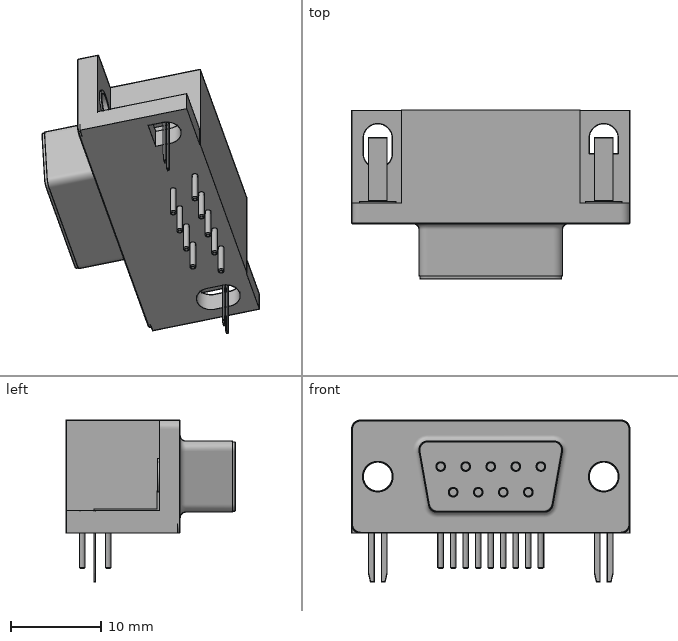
import cadquery as cq
import math


width = 30.8
height = 12.5
body_back = 12.63
body_width = 19.77
wing_back = 12.57
wing_height = 2.5
flange_back = 2.3
corner_radius = 1.0

plate_thickness = 0.3
edge_chamfer = 0.1

hole_x = 12.5
hole_z = height / 2
hole_diameter = 3.2

shell_width = 15.9
shell_height = 7.9
shell_radius = 1.0
shell_taper = 10.0
shell_length = 5.75
flare_radius = 0.62
shell_wall = 0.1
insert_front = 6.1
insert_edge_radius = 0.12

contact_pitch = 2.77
contact_rows = ((5, 7.35), (4, 4.53))
contact_diameter = 0.85
contact_chamfer = 0.1

pin_diameter = 0.65
pin_bottom = -3.9
pin_root = wing_height / 2
pin_chamfer = 0.12
pin_rows = ((5, 10.85), (4, 7.98))

slot_width = hole_diameter
slot_arc_back = 9.5
slot_arc_front = 7.8
ring_diameter = 4.0
ring_thickness = 0.2
strip_width = 2.05
strip_thickness = 0.2
upright_thickness = 0.28
strip_back = 9.55
leg_gap = 0.77
leg_bottom = -5.4
leg_tip_length = 0.92
leg_tip_inset = 0.22


def block(x_min, x_max, y_min, y_max, z_min, z_max):
    """Axis-aligned block between two limits on each axis."""
    size = (x_max - x_min, y_max - y_min, z_max - z_min)
    return cq.Workplane("XY").box(*size, centered=False).translate((x_min, y_min, z_min))


def cylinder_y(x, z, diameter, y_min, y_max):
    """Cylinder along Y from y_min to y_max."""
    profile = cq.Workplane("XZ", origin=(x, y_min, z)).circle(diameter / 2)
    return profile.extrude(y_min - y_max)


def row_positions(count):
    """X positions of a centred row of contacts."""
    return [(i - (count - 1) / 2) * contact_pitch for i in range(count)]


def make_housing():
    """Flange with rounded top corners, the body behind it and a low wing on each side."""
    flange = block(-width / 2, width / 2, plate_thickness, flange_back, 0, height)
    flange = flange.edges("|Y and >Z").fillet(corner_radius)
    body = block(-body_width / 2, body_width / 2, plate_thickness, body_back, 0, height)
    wings = block(-width / 2, width / 2, plate_thickness, wing_back, 0, wing_height)
    return flange.union(body).union(wings)


def make_plate():
    """Metal plate with rounded corners, two holes and chamfered front edges."""
    plate = block(-width / 2, width / 2, 0, plate_thickness, 0, height)
    plate = plate.edges("|Y").fillet(corner_radius)
    for x in (-hole_x, hole_x):
        plate = plate.cut(cylinder_y(x, hole_z, hole_diameter, 0, plate_thickness))
    return plate.faces("<Y").edges().chamfer(edge_chamfer)


def d_prism(inset, y_front):
    """D-shaped prism from the plate to y_front, drawn in from the shell by inset."""
    radius = shell_radius - inset
    half_height = shell_height / 2 - inset
    slope = math.tan(math.radians(shell_taper))
    arc_x = shell_width / 2 - shell_radius
    arc_z = half_height - radius
    side_x = arc_x + radius / math.cos(math.radians(shell_taper))
    top_x = side_x + (half_height - arc_z) * slope
    bottom_x = side_x - (half_height + arc_z) * slope
    outline = cq.Workplane("XZ", origin=(0, plate_thickness, hole_z)).polyline(
        [(-top_x, half_height), (top_x, half_height), (bottom_x, -half_height), (-bottom_x, -half_height)]
    )
    return outline.close().extrude(plate_thickness - y_front).edges("|Y").fillet(radius)


def make_front():
    """Plate with the flared shell and the round-edged insert standing out of it."""
    front = make_plate().union(d_prism(0, -shell_length))
    reach = shell_width / 2 + flare_radius
    half_depth = edge_chamfer / 2
    root_box = cq.selectors.BoxSelector(
        (-reach, -half_depth, flare_radius), (reach, half_depth, height - flare_radius)
    )
    front = front.edges(root_box).fillet(flare_radius)
    insert = d_prism(shell_wall, -insert_front).faces("<Y").edges().fillet(insert_edge_radius)
    return front.union(insert)


def make_contact_holes():
    """Blind bores reaching back to the plate front, each with a chamfered mouth."""
    holes = cq.Workplane("XY")
    mouth_radius = contact_diameter / 2 + contact_chamfer
    for count, z in contact_rows:
        for x in row_positions(count):
            bore = cylinder_y(x, z, contact_diameter, -insert_front, 0)
            mouth = cq.Solid.makeCone(
                mouth_radius, contact_diameter / 2, contact_chamfer,
                pnt=cq.Vector(x, -insert_front, z), dir=cq.Vector(0, 1, 0),
            )
            holes = holes.add(bore).add(mouth)
    return holes.combine()


def make_pins():
    """Two rows of round pins rooted in the housing, chamfered at the tips."""
    pins = cq.Workplane("XY")
    for count, y in pin_rows:
        for x in row_positions(count):
            pin = cq.Workplane("XY", origin=(x, y, pin_bottom)).circle(pin_diameter / 2)
            pin = pin.extrude(pin_root - pin_bottom).faces("<Z").chamfer(pin_chamfer)
            pins = pins.add(pin)
    return pins.combine()


def make_slot(x, rounded_front):
    """Slot through a wing: rounded at the back, rounded or square at the front."""
    half = slot_width / 2
    slot = block(x - half, x + half, slot_arc_front, slot_arc_back, 0, wing_height)
    ends = [slot_arc_back]
    if rounded_front:
        ends.append(slot_arc_front)
    for y in ends:
        slot = slot.union(cq.Workplane("XY", origin=(x, y, 0)).circle(half).extrude(wing_height))
    return slot


def make_board_lock(x):
    """Ring behind the flange, bent strip along the wing, and a split leg."""
    half = strip_width / 2
    strip_top = wing_height + strip_thickness
    ring = cylinder_y(x, hole_z, ring_diameter, flange_back, flange_back + ring_thickness)
    upright_top = hole_z - hole_diameter / 2
    upright = block(x - half, x + half, flange_back, flange_back + upright_thickness, wing_height, upright_top)
    strip = block(x - half, x + half, flange_back, strip_back, wing_height, strip_top)
    lock = ring.union(upright).union(strip)
    for side in (-1, 1):
        leg = cq.Workplane("XZ", origin=(x, strip_back, 0)).polyline([
            (side * leg_gap / 2, strip_top),
            (side * half, strip_top),
            (side * half, leg_bottom + leg_tip_length),
            (side * (half - leg_tip_inset), leg_bottom),
            (side * leg_gap / 2, leg_bottom),
        ])
        lock = lock.union(leg.close().extrude(strip_thickness))
    return lock


part = make_housing().union(make_front()).union(make_pins())
for x in (-hole_x, hole_x):
    part = part.cut(make_slot(x, rounded_front=x < 0))
    part = part.union(make_board_lock(x))
    part = part.cut(cylinder_y(x, hole_z, hole_diameter, 0, flange_back + ring_thickness))
result = part.cut(make_contact_holes())